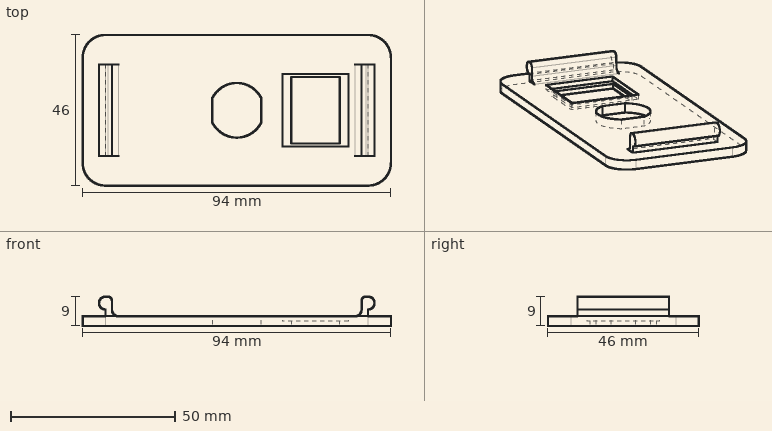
import cadquery as cq

PLATE_LENGTH = 94.0
PLATE_WIDTH = 46.0
PLATE_THICKNESS = 3.0
CORNER_RADIUS = 7.0

HOLE_DIAMETER = 16.6
HOLE_ACROSS_FLATS = 14.8

WINDOW_CENTER_X = 24.0
WINDOW_LENGTH = 14.7
WINDOW_WIDTH = 20.2
RECESS_LENGTH = 20.0
RECESS_WIDTH = 22.0
RECESS_DEPTH = 1.5

HOOK_WIDTH = 28.0
HOOK_TOP = 9.0
HOOK_OUTER_X = 40.0
HOOK_THICKNESS = 2.0
BEAD_RADIUS = 2.0
TIP_RADIUS = 1.3
FOOT_RADIUS = 2.0


def make_plate():
    plate = cq.Workplane("XY").box(
        PLATE_LENGTH, PLATE_WIDTH, PLATE_THICKNESS, centered=(True, True, False)
    )
    return plate.edges("|Z").fillet(CORNER_RADIUS)


def make_flatted_hole():
    cylinder = cq.Workplane("XY").circle(HOLE_DIAMETER / 2).extrude(PLATE_THICKNESS)
    flats = cq.Workplane("XY").rect(HOLE_ACROSS_FLATS, HOLE_DIAMETER).extrude(PLATE_THICKNESS)
    return cylinder.intersect(flats)


def make_stepped_window():
    center = cq.Workplane("XY").center(WINDOW_CENTER_X, 0)
    opening = center.rect(WINDOW_LENGTH, WINDOW_WIDTH).extrude(PLATE_THICKNESS)
    recess = (
        cq.Workplane("XY", origin=(WINDOW_CENTER_X, 0, PLATE_THICKNESS))
        .rect(RECESS_LENGTH, RECESS_WIDTH)
        .extrude(-RECESS_DEPTH)
    )
    return opening.union(recess)


def make_right_hook():
    """Hook at the +X end: a thin post with a half-round bead on its outer side."""
    inner_x = HOOK_OUTER_X - HOOK_THICKNESS
    bead_center_z = HOOK_TOP - BEAD_RADIUS
    profile = (
        cq.Workplane("XZ")
        .moveTo(HOOK_OUTER_X, 0)
        .lineTo(HOOK_OUTER_X, bead_center_z - BEAD_RADIUS)
        .threePointArc((HOOK_OUTER_X + BEAD_RADIUS, bead_center_z), (HOOK_OUTER_X, HOOK_TOP))
        .lineTo(inner_x + TIP_RADIUS, HOOK_TOP)
        .radiusArc((inner_x, HOOK_TOP - TIP_RADIUS), -TIP_RADIUS)
        .lineTo(inner_x, PLATE_THICKNESS + FOOT_RADIUS)
        .radiusArc((inner_x - FOOT_RADIUS, PLATE_THICKNESS), FOOT_RADIUS)
        .lineTo(inner_x - FOOT_RADIUS, 0)
        .close()
    )
    return profile.extrude(HOOK_WIDTH / 2, both=True)


right_hook = make_right_hook()
left_hook = right_hook.mirror("YZ")

result = (
    make_plate()
    .cut(make_flatted_hole())
    .cut(make_stepped_window())
    .union(right_hook)
    .union(left_hook)
)